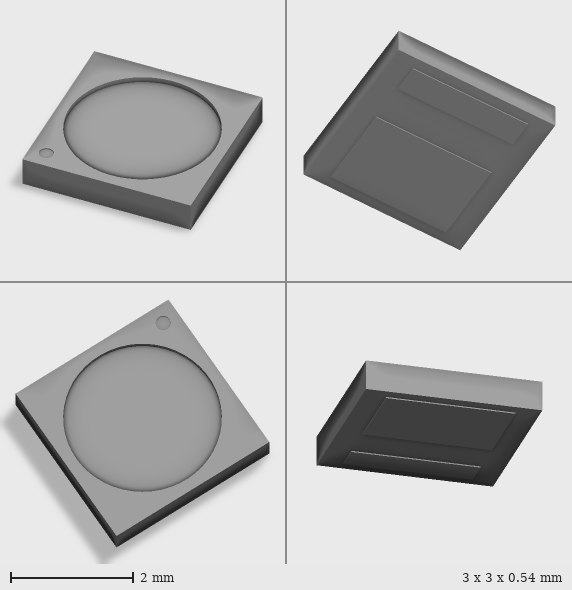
import cadquery as cq

side = 3.0
total_height = 0.54
pad_thickness = 0.02
body_height = total_height - pad_thickness

pocket_diameter = 2.6
pocket_depth = 0.1
marker_diameter = 0.25
marker_depth = 0.02
marker_offset = 1.2

pad_edge_x = 1.3
pad_length_y = 2.202
wide_pad_width = 1.437
narrow_pad_width = 0.48


def round_recess(x, y, diameter, depth):
    """Cutter for a flat-bottomed round recess in the top face."""
    return (
        cq.Workplane("XY", origin=(x, y, total_height - depth))
        .circle(diameter / 2)
        .extrude(depth)
    )


def pad(center_x, width):
    """Flat contact pad that joins the underside of the body."""
    return (
        cq.Workplane("XY")
        .center(center_x, 0)
        .rect(width, pad_length_y)
        .extrude(pad_thickness)
    )


body = cq.Workplane("XY", origin=(0, 0, pad_thickness)).rect(side, side).extrude(body_height)

body = body.cut(round_recess(0, 0, pocket_diameter, pocket_depth))
body = body.cut(round_recess(-marker_offset, -marker_offset, marker_diameter, marker_depth))

wide_pad = pad(-pad_edge_x + wide_pad_width / 2, wide_pad_width)
narrow_pad = pad(pad_edge_x - narrow_pad_width / 2, narrow_pad_width)
result = body.union(wide_pad).union(narrow_pad)